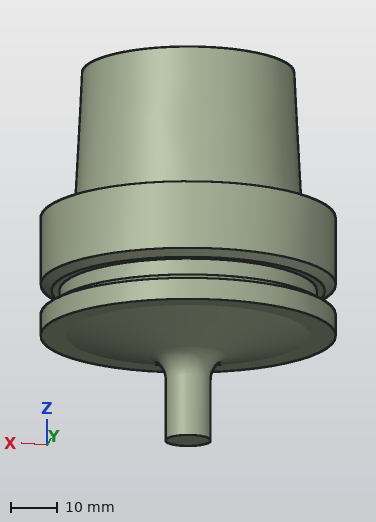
import cadquery as cq
import math

total_height = 80.9
pin_top = 13.4
dish_bottom = 18.4
flange_bottom = 23.05
flange_top = 48.95
groove_bottom = 29.05
groove_top = 32.9
groove_chamfer_height = 1.4

pin_radius = 9.6 / 2
flange_radius = 62.9 / 2
groove_radius = 54.9 / 2
groove_mouth_chamfer = 2.35
dish_outer_radius = 26.0
dish_inner_radius = 8.25
taper_base_radius = 24.35
taper_top_radius = 22.65

fillet_width = dish_inner_radius - pin_radius
fillet_height = dish_bottom - pin_top
fillet_radius = (fillet_width**2 + fillet_height**2) / (2 * fillet_width)
fillet_angle = math.asin(fillet_height / fillet_radius)
fillet_middle = (
    pin_radius + fillet_radius * (1 - math.cos(fillet_angle / 2)),
    pin_top + fillet_radius * math.sin(fillet_angle / 2),
)

half_section = (
    cq.Workplane("XZ")
    .lineTo(pin_radius, 0)
    .lineTo(pin_radius, pin_top)
    .threePointArc(fillet_middle, (dish_inner_radius, dish_bottom))
    .lineTo(dish_outer_radius, flange_bottom)
    .lineTo(flange_radius, flange_bottom)
    .lineTo(flange_radius, groove_bottom - groove_chamfer_height)
    .lineTo(flange_radius - groove_mouth_chamfer, groove_bottom)
    .lineTo(groove_radius, groove_bottom)
    .lineTo(groove_radius, groove_top)
    .lineTo(flange_radius - groove_mouth_chamfer, groove_top)
    .lineTo(flange_radius, groove_top + groove_chamfer_height)
    .lineTo(flange_radius, flange_top)
    .lineTo(taper_base_radius, flange_top)
    .lineTo(taper_top_radius, total_height)
    .lineTo(0, total_height)
    .close()
)
result = half_section.revolve(360, (0, 0, 0), (0, 1, 0))